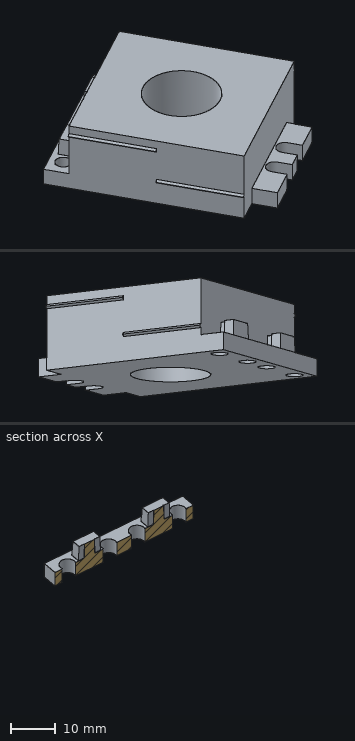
import cadquery as cq

total_length = 53.0
body_width = 39.0
body_height = 17.0
flange_length = 6.0
body_length = total_length - 2 * flange_length
bore_diameter = 18.0

flange_height = 4.05
flange_hole_diameter = 3.8
flange_hole_inset = 3.5
flange_hole_offsets = (4.0, 15.55)

key_height = 4.1
key_offset = 9.75
key_inset = 1.5
key_bar_length = 2.5
key_bar_width = 6.2
key_stem_width = 3.15
key_draft = 0.15

lug_width = 27.05
lug_height = 4.25
slot_width = 4.0
slot_depth = 5.55
slot_offset = 4.0

rib_depth = 0.505
rib_height = 0.95
upper_rib_z = 14.45
lower_rib_z = 6.1

left_end = -total_length / 2
right_end = total_length / 2
body_left = -body_length / 2
body_right = body_length / 2


def block(x_start, length, width, height):
    """Box centred in Y and standing on Z = 0."""
    return (
        cq.Workplane("XY")
        .box(length, width, height, centered=(False, True, False))
        .translate((x_start, 0, 0))
    )


def key_outline(inward):
    """T outline, drawn in by the draft on its front and sides."""
    front = left_end + key_inset + inward
    back = left_end + key_inset + key_bar_length
    bar = key_bar_width / 2 - inward
    stem = key_stem_width / 2 - inward
    return [
        (front, -bar),
        (back, -bar),
        (back, -stem),
        (body_left, -stem),
        (body_left, stem),
        (back, stem),
        (back, bar),
        (front, bar),
    ]


def key(y):
    """Drafted T-shaped key joined to the body by its stem."""
    return (
        cq.Workplane("XY")
        .polyline(key_outline(0))
        .close()
        .workplane(offset=key_height)
        .polyline(key_outline(key_draft))
        .close()
        .loft(ruled=True)
        .translate((0, y, flange_height))
    )


def rib(x_start, z):
    """Half-length triangular rib on the -Y face."""
    face = -body_width / 2
    return (
        cq.Workplane("YZ", origin=(x_start, 0, 0))
        .moveTo(face, z - rib_height / 2)
        .lineTo(face - rib_depth, z)
        .lineTo(face, z + rib_height / 2)
        .close()
        .extrude(body_length / 2)
    )


def slot(y):
    """Round-ended slot, open at the +X end of the lug."""
    centre_x = right_end - slot_depth + slot_width / 2
    round_end = cq.Workplane("XY").center(centre_x, y).circle(slot_width / 2).extrude(lug_height)
    straight = block(centre_x, right_end - centre_x, slot_width, lug_height).translate((0, y, 0))
    return round_end.union(straight)


result = block(body_left, body_length, body_width, body_height)
result = result.union(block(left_end, flange_length, body_width, flange_height))
result = result.union(block(body_right, flange_length, lug_width, lug_height))

for side in (-1, 1):
    result = result.union(key(side * key_offset))
    result = result.cut(slot(side * slot_offset))

for x_start, z in ((body_left, upper_rib_z), (0, lower_rib_z)):
    front_rib = rib(x_start, z)
    result = result.union(front_rib)
    result = result.union(front_rib.rotate((0, 0, 0), (0, 0, 1), 180))

hole_points = [
    (left_end + flange_hole_inset, side * offset)
    for side in (-1, 1)
    for offset in flange_hole_offsets
]
flange_holes = (
    cq.Workplane("XY").pushPoints(hole_points).circle(flange_hole_diameter / 2).extrude(flange_height)
)
bore = cq.Workplane("XY").circle(bore_diameter / 2).extrude(body_height)
result = result.cut(flange_holes).cut(bore)